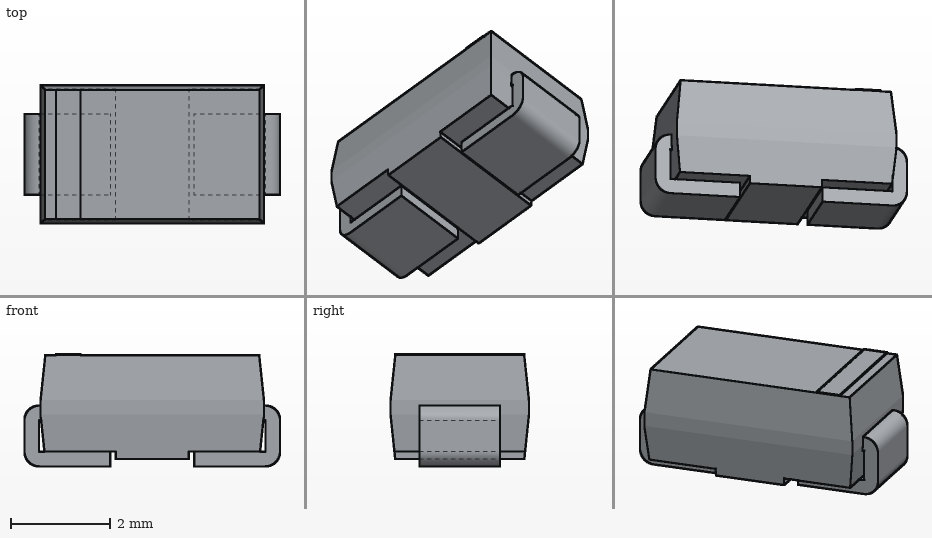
import cadquery as cq
import math

housing_length = 4.5
housing_width = 2.79
draft_angle = 6.0
housing_top = 2.24
belt_top = 1.335
belt_bottom = 1.04

pedestal_length = 1.475
pedestal_bottom = 0.15

overall_length = 5.15
lead_thickness = 0.30
lead_width = 1.63
lead_top = 1.23
foot_length = 1.73
bend_radius = lead_thickness

band_length = 0.5
band_center_x = -1.69
band_top = 2.26

housing_bottom = lead_thickness
draft_slope = math.tan(math.radians(draft_angle))


def drafted_half(start_z, height):
    """Block that starts at the belt size and narrows over its signed height."""
    return (
        cq.Workplane("XY")
        .workplane(offset=start_z)
        .rect(housing_length, housing_width)
        .extrude(height, taper=draft_angle)
    )


def make_housing():
    belt = (
        cq.Workplane("XY")
        .workplane(offset=belt_bottom)
        .rect(housing_length, housing_width)
        .extrude(belt_top - belt_bottom)
    )
    upper_half = drafted_half(belt_top, housing_top - belt_top)
    lower_half = drafted_half(belt_bottom, pedestal_bottom - belt_bottom)

    relief_length = (housing_length - pedestal_length) / 2
    relief_height = housing_bottom - pedestal_bottom
    reliefs = (
        cq.Workplane("XY")
        .workplane(offset=pedestal_bottom)
        .pushPoints([(side * (pedestal_length + relief_length) / 2, 0) for side in (-1, 1)])
        .rect(relief_length, housing_width)
        .extrude(relief_height)
    )
    return belt.union(upper_half).union(lower_half).cut(reliefs)


def make_lead(side):
    """C-shaped strip that butts against one end face and folds under the housing."""
    outer_x = overall_length / 2
    inner_x = outer_x - lead_thickness
    foot_end_x = outer_x - foot_length
    stub_bottom = lead_top - lead_thickness
    belt_x = housing_length / 2
    drafted_x = belt_x - (belt_bottom - stub_bottom) * draft_slope

    points = [
        (foot_end_x, 0),
        (outer_x, 0),
        (outer_x, lead_top),
        (belt_x, lead_top),
        (belt_x, belt_bottom),
        (drafted_x, stub_bottom),
        (inner_x, stub_bottom),
        (inner_x, lead_thickness),
        (foot_end_x, lead_thickness),
    ]
    strip = (
        cq.Workplane("XZ")
        .polyline([(side * x, z) for x, z in points])
        .close()
        .extrude(lead_width / 2, both=True)
    )
    outer_face = ">X" if side > 0 else "<X"
    return strip.faces(outer_face).edges("|Y").fillet(bend_radius)


def make_polarity_band():
    top_face_width = housing_width - 2 * (housing_top - belt_top) * draft_slope
    return (
        cq.Workplane("XY")
        .workplane(offset=housing_top)
        .center(band_center_x, 0)
        .rect(band_length, top_face_width)
        .extrude(band_top - housing_top)
    )


housing = make_housing()
leads = [make_lead(side) for side in (-1, 1)]
polarity_band = make_polarity_band()

result = cq.Compound.makeCompound(
    [housing.solids().val(), *[lead.solids().val() for lead in leads], polarity_band.val()]
)